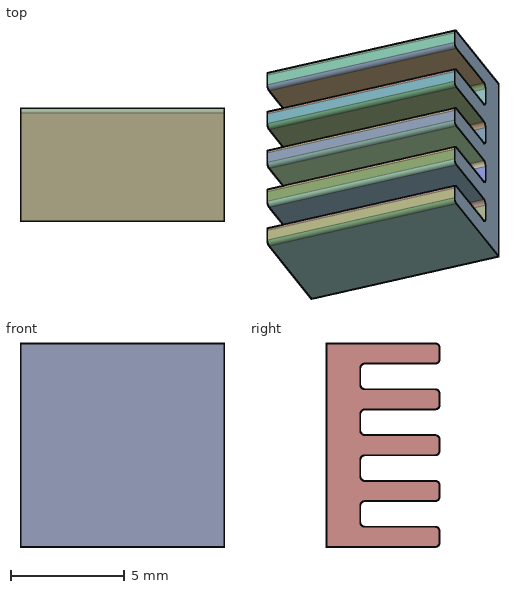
import cadquery as cq

width = 9.0
height = 9.0
depth = 5.0
fin_count = 5
fin_thickness = 0.9
fin_length = 3.5
corner_radius = 0.2

gap_count = fin_count - 1
gap = (height - fin_count * fin_thickness) / gap_count
pitch = fin_thickness + gap
base_thickness = depth - fin_length


def box_between(y_start, y_end, z_start, z_end):
    """Full-width box spanning the given Y and Z ranges, centred on X."""
    return (
        cq.Workplane("XY")
        .box(width, y_end - y_start, z_end - z_start, centered=(True, False, False))
        .translate((0, y_start, z_start))
    )


def slot(z_start):
    """Cutter for one gap between fins, with a rounded floor."""
    cutter = box_between(base_thickness, depth, z_start, z_start + gap)
    return cutter.edges("|X and <Y").fillet(corner_radius)


result = box_between(0, depth, 0, height)
for index in range(gap_count):
    result = result.cut(slot(fin_thickness + index * pitch))

result = result.faces(">Y").edges("|X").fillet(corner_radius)